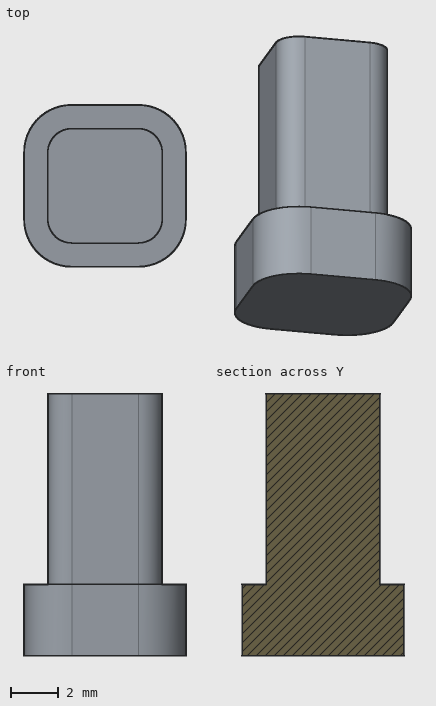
import cadquery as cq

post_width = 4.8
post_corner_radius = 1.0
post_height = 8.0
flange_overhang = 1.0
flange_height = 3.0

flange_width = post_width + 2 * flange_overhang
flange_corner_radius = post_corner_radius + flange_overhang


def rounded_square_block(width, corner_radius, height, base_z):
    """Square block centred on the Z axis, with rounded vertical edges, standing on base_z."""
    return (
        cq.Workplane("XY")
        .workplane(offset=base_z)
        .rect(width, width)
        .extrude(height)
        .edges("|Z")
        .fillet(corner_radius)
    )


flange = rounded_square_block(flange_width, flange_corner_radius, flange_height, 0)
post = rounded_square_block(post_width, post_corner_radius, post_height, flange_height)

result = flange.union(post)